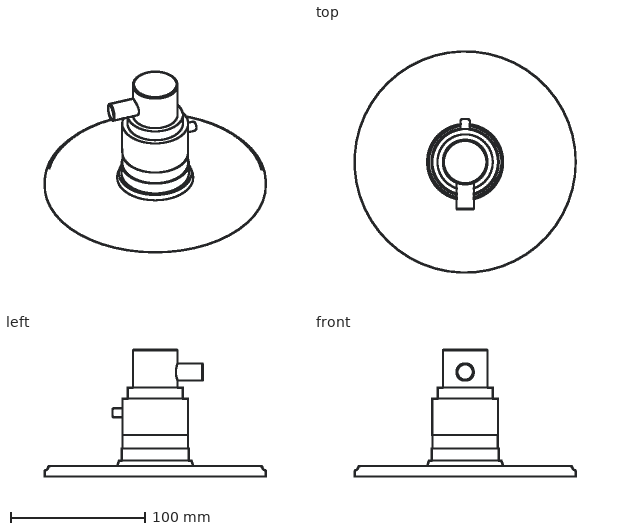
import cadquery as cq

plate_diameter = 165.1
plate_radius = plate_diameter / 2
plate_rim_height = 3.5
plate_shoulder_radius = 81.4
plate_shoulder_height = 5.0
plate_step_radius = 79.9
plate_step_height = 7.0
plate_face_radius = 78.3
plate_height = 8.0
moulding_bulge = 0.3

flange_bottom_radius = 28.4
flange_top_radius = 27.0
flange_height = 4.0
flange_top = plate_height + flange_height

base_radius = 25.1
base_height = 9.0
dial_height = 9.9
dial_step = 0.2
body_radius = 24.6
body_height = 27.2
dial_radius = body_radius - dial_step
collar_radius = 20.6
collar_height = 8.3
knob_radius = 16.7
knob_height = 28.4
knob_edge = 0.8

base_top = flange_top + base_height
dial_top = base_top + dial_height
body_top = dial_top + body_height
collar_top = body_top + collar_height

lever_radius = 6.5
lever_reach = 35.5
lever_drop = 16.8
lever_level = collar_top + knob_height - lever_drop
lever_edge = 0.7

pin_radius = 3.5
pin_reach = 32.0
pin_drop = 10.5
pin_level = body_top - pin_drop
pin_edge = 1.7


def plate_and_flange():
    """Plate with a rim of one cove between two rounds, and the tapered flange."""
    return (
        cq.Workplane("XZ")
        .lineTo(plate_radius, 0)
        .lineTo(plate_radius, plate_rim_height)
        .tangentArcPoint((plate_shoulder_radius, plate_shoulder_height), relative=False)
        .sagittaArc((plate_step_radius, plate_step_height), moulding_bulge)
        .sagittaArc((plate_face_radius, plate_height), -moulding_bulge)
        .lineTo(flange_bottom_radius, plate_height)
        .lineTo(flange_top_radius, flange_top)
        .lineTo(0, flange_top)
        .close()
        .revolve(360, (0, 0, 0), (0, 1, 0))
    )


def cylinder(radius, bottom, height):
    """Solid cylinder on the Z axis."""
    return cq.Workplane("XY", origin=(0, 0, bottom)).circle(radius).extrude(height)


def knob():
    """Top cylinder with a chamfered upper rim."""
    return cylinder(knob_radius, collar_top, knob_height).faces(">Z").chamfer(knob_edge)


def lever():
    """Rod from the knob axis toward -Y, chamfered at its free end."""
    rod = cq.Workplane("XZ", origin=(0, 0, lever_level)).circle(lever_radius).extrude(lever_reach)
    return rod.faces("<Y").chamfer(lever_edge)


def stop_pin():
    """Pin from the body axis toward +Y, rounded at its free end."""
    rod = cq.Workplane("XZ", origin=(0, 0, pin_level)).circle(pin_radius).extrude(-pin_reach)
    return rod.faces(">Y").fillet(pin_edge)


result = (
    plate_and_flange()
    .union(cylinder(base_radius, flange_top, base_height))
    .union(cylinder(dial_radius, base_top, dial_height))
    .union(cylinder(body_radius, dial_top, body_height))
    .union(cylinder(collar_radius, body_top, collar_height))
    .union(knob())
    .union(lever())
    .union(stop_pin())
)